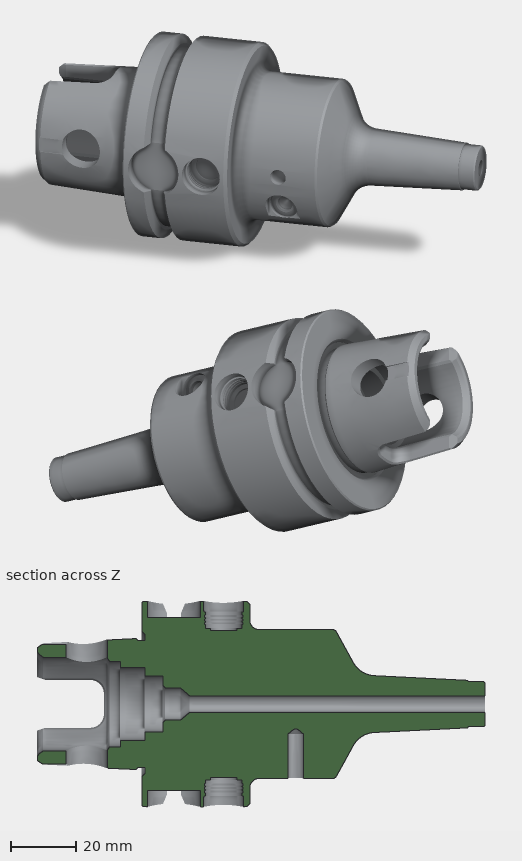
import cadquery as cq
import math

TOTAL_LENGTH = 137.0

SHANK_BIG_RADIUS = 20.1
SHANK_END = 30.1
TAPER_SLOPE = 0.05
NOSE_CHAMFER_LENGTH = 1.9
NOSE_CHAMFER_HEIGHT = 1.4
RELIEF_RADIUS = 19.6
RELIEF_FACE_RADIUS = 21.4
RELIEF_DEPTH = 1.0
RELIEF_CHAMFER = 0.8

FLANGE_RADIUS = 31.5
FLANGE_START = 31.9
FLANGE_END = 65.1
FLANGE_CHAMFER = 1.0
FLANGE_FRONT_CHAMFER = 0.4
GROOVE_START = 38.5
GROOVE_END = 45.2
GROOVE_RADIUS = 27.7
GROOVE_WALL_RUN = 1.2
GROOVE_WALL_DROP = 2.7

BODY_RADIUS = 22.9
BODY_END = 91.4
BODY_FILLET = 2.7
BODY_CHAMFER = 0.7
BODY_CHAMFER_DROP = 0.4
CONE_END = 96.7
CONE_END_RADIUS = 12.7
SPIGOT_START = 103.3
SPIGOT_START_RADIUS = 8.8
TIP_START = 131.9
TIP_RADIUS = 7.0
TIP_CHAMFER = 0.4

MOUTH_RADIUS = 15.9
MOUTH_CHAMFER_LENGTH = 0.4
MOUTH_THROAT_RADIUS = 15.2
SOCKET_START = 1.8
SOCKET_RADIUS = 14.2
SOCKET_END = 21.2
SEAT_START = 22.0
SEAT_RADIUS = 13.0
COUNTERSINK_START = 38.4
BORE_STEPS = [(25.3, 11.1), (32.9, 8.5), (COUNTERSINK_START, 5.6)]
PASSAGE_INLET_RADIUS = 4.8
PASSAGE_CONE_START = 43.8
PASSAGE_START = 46.6
PASSAGE_RADIUS = 2.5

SLOT_WIDTH = 14.7
SLOT_DEPTH = 20.4
SLOT_CORNER_RADIUS = 4.2
SLOT_EDGE_CHAMFER = 0.5
SLOT_MOUTH_LENGTH = 2.5
SLOT_MOUTH_WIDENING = 0.8

CROSS_HOLE_X = 15.1
CROSS_HOLE_DIAMETER = 12.5
FLAT_WIDTH = 4.7
FLAT_HEIGHT = 18.4

DISC_X = 41.8
DISC_DIAMETER = 16.0
DISC_FLOOR = 26.6
PORT_X = 57.0
PORT_DIAMETER = 12.0
PORT_INNER_DIAMETER = 11.0
PORT_SEAT_DIAMETER = 8.0
PORT_SHOULDER = 28.2
PORT_GROOVE_DIAMETER = 11.6
PORT_GROOVE_WIDTH = 0.5
PORT_GROOVE_PITCH = 1.1
PORT_GROOVE_COUNT = 3
PORT_FLOOR = 23.3
PORT_SEAT_DEPTH = 0.7

SCREW_X = 79.0
SCREW_OFFSET = 12.2
SCREW_POCKET_WIDTH = 10.0
SCREW_POCKET_FLOOR = 15.9
SCREW_HOLE_DIAMETER = 9.0
SCREW_HEAD_DEPTH = 1.6
SCREW_CONE_DEPTH = 0.7
SCREW_RIM_DIAMETER = 6.0
SCREW_SOCKET_DIAMETER = 4.7
SCREW_SOCKET_DEPTH = 1.4
PIN_OFFSET = 1.0
PIN_DIAMETER = 5.0
PIN_DEPTH = 13.7

CLEARANCE = 6.8


def radial_tool(x, z, profile):
    """Revolve (radius, Y) points about an axis parallel to Y through (x, z)."""
    return (
        cq.Workplane("XY")
        .polyline(profile)
        .close()
        .revolve(360, (0, 0, 0), (0, 1, 0))
        .translate((x, 0, z))
    )


def half_turn(tool):
    """Join a tool with its copy turned half way around the X axis."""
    return tool.union(tool.rotate((0, 0, 0), (1, 0, 0), 180))


def cut_driver_slots(shank):
    slot = (
        cq.Workplane("XY")
        .box(2 * SLOT_DEPTH, SLOT_WIDTH, 3 * SHANK_BIG_RADIUS)
        .edges("|Z and >X")
        .fillet(SLOT_CORNER_RADIUS)
    )
    shank = shank.cut(slot)
    for side in (1, -1):
        rim_box = cq.selectors.BoxSelector(
            (0, -SLOT_WIDTH, side * MOUTH_RADIUS / 2),
            (SLOT_DEPTH + SLOT_EDGE_CHAMFER, SLOT_WIDTH, side * 2 * SHANK_BIG_RADIUS),
        )
        rims = shank.edges("not(|Y or |Z)").edges(rim_box)
        shank = rims.chamfer(SLOT_EDGE_CHAMFER)
    mouth = (
        cq.Workplane("XY", origin=(0, 0, -2 * SHANK_BIG_RADIUS))
        .moveTo(0, -SLOT_WIDTH / 2 - SLOT_MOUTH_WIDENING)
        .lineTo(SLOT_MOUTH_LENGTH, -SLOT_WIDTH / 2)
        .lineTo(SLOT_MOUTH_LENGTH, SLOT_WIDTH / 2)
        .lineTo(0, SLOT_WIDTH / 2 + SLOT_MOUTH_WIDENING)
        .close()
        .extrude(4 * SHANK_BIG_RADIUS)
    )
    return shank.cut(mouth)


def make_shank():
    nose_radius = SHANK_BIG_RADIUS - TAPER_SLOPE * (SHANK_END - NOSE_CHAMFER_LENGTH)
    shank = (
        cq.Workplane("XY")
        .moveTo(0, 0)
        .lineTo(0, nose_radius - NOSE_CHAMFER_HEIGHT)
        .lineTo(NOSE_CHAMFER_LENGTH, nose_radius)
        .lineTo(SHANK_END, SHANK_BIG_RADIUS)
        .lineTo(SHANK_END + SHANK_BIG_RADIUS - RELIEF_RADIUS, RELIEF_RADIUS)
        .lineTo(FLANGE_START + RELIEF_DEPTH, RELIEF_RADIUS)
        .lineTo(FLANGE_START + RELIEF_DEPTH, 0)
        .close()
        .revolve(360, (0, 0, 0), (1, 0, 0))
    )
    shank = shank.cut(make_bore())
    shank = cut_driver_slots(shank)
    for side in (1, -1):
        flat_center = side * (FLAT_HEIGHT + CLEARANCE / 2)
        flat = cq.Workplane("XY").box(CROSS_HOLE_X, CLEARANCE, FLAT_WIDTH)
        shank = shank.cut(flat.translate((CROSS_HOLE_X / 2, flat_center, 0)))
    hole = (
        cq.Workplane("XZ")
        .center(CROSS_HOLE_X, 0)
        .circle(CROSS_HOLE_DIAMETER / 2)
        .extrude(2 * SHANK_BIG_RADIUS, both=True)
    )
    return shank.cut(hole)


def make_holder():
    wall_radius = FLANGE_RADIUS - GROOVE_WALL_DROP
    spigot_end_radius = SPIGOT_START_RADIUS - TAPER_SLOPE * (TIP_START - SPIGOT_START)
    fillet_middle = BODY_FILLET * (1 - math.sqrt(0.5))
    return (
        cq.Workplane("XY")
        .moveTo(FLANGE_START + RELIEF_DEPTH, 0)
        .lineTo(FLANGE_START + RELIEF_DEPTH, RELIEF_FACE_RADIUS)
        .lineTo(FLANGE_START + RELIEF_CHAMFER, RELIEF_FACE_RADIUS)
        .lineTo(FLANGE_START, RELIEF_FACE_RADIUS + RELIEF_CHAMFER)
        .lineTo(FLANGE_START, FLANGE_RADIUS - FLANGE_FRONT_CHAMFER)
        .lineTo(FLANGE_START + FLANGE_FRONT_CHAMFER, FLANGE_RADIUS)
        .lineTo(GROOVE_START, FLANGE_RADIUS)
        .lineTo(GROOVE_START + GROOVE_WALL_RUN, wall_radius)
        .lineTo(GROOVE_START + GROOVE_WALL_RUN, GROOVE_RADIUS)
        .lineTo(GROOVE_END - GROOVE_WALL_RUN, GROOVE_RADIUS)
        .lineTo(GROOVE_END - GROOVE_WALL_RUN, wall_radius)
        .lineTo(GROOVE_END, FLANGE_RADIUS)
        .lineTo(FLANGE_END - FLANGE_CHAMFER, FLANGE_RADIUS)
        .lineTo(FLANGE_END, FLANGE_RADIUS - FLANGE_CHAMFER)
        .lineTo(FLANGE_END, BODY_RADIUS + BODY_FILLET)
        .threePointArc(
            (FLANGE_END + fillet_middle, BODY_RADIUS + fillet_middle),
            (FLANGE_END + BODY_FILLET, BODY_RADIUS),
        )
        .lineTo(BODY_END - BODY_CHAMFER, BODY_RADIUS)
        .lineTo(BODY_END, BODY_RADIUS - BODY_CHAMFER_DROP)
        .lineTo(CONE_END, CONE_END_RADIUS)
        .tangentArcPoint((SPIGOT_START, SPIGOT_START_RADIUS), relative=False)
        .lineTo(TIP_START, spigot_end_radius)
        .lineTo(TIP_START, TIP_RADIUS)
        .lineTo(TOTAL_LENGTH - TIP_CHAMFER, TIP_RADIUS)
        .lineTo(TOTAL_LENGTH, TIP_RADIUS - TIP_CHAMFER)
        .lineTo(TOTAL_LENGTH, 0)
        .close()
        .revolve(360, (0, 0, 0), (1, 0, 0))
    )


def make_bore():
    bore = (
        cq.Workplane("XY")
        .moveTo(0, 0)
        .lineTo(0, MOUTH_RADIUS)
        .lineTo(MOUTH_CHAMFER_LENGTH, MOUTH_THROAT_RADIUS)
        .lineTo(SOCKET_START, SOCKET_RADIUS)
        .lineTo(SOCKET_END, SOCKET_RADIUS)
        .lineTo(SEAT_START, SEAT_RADIUS)
    )
    radius = SEAT_RADIUS
    for step_x, step_radius in BORE_STEPS:
        bore = bore.lineTo(step_x, radius).lineTo(step_x, step_radius)
        radius = step_radius
    return (
        bore.lineTo(COUNTERSINK_START + radius - PASSAGE_INLET_RADIUS, PASSAGE_INLET_RADIUS)
        .lineTo(PASSAGE_CONE_START, PASSAGE_INLET_RADIUS)
        .lineTo(PASSAGE_START, PASSAGE_RADIUS)
        .lineTo(TOTAL_LENGTH, PASSAGE_RADIUS)
        .lineTo(TOTAL_LENGTH, 0)
        .close()
        .revolve(360, (0, 0, 0), (1, 0, 0))
    )


def make_flange_pockets():
    outside = -FLANGE_RADIUS - CLEARANCE
    disc = radial_tool(
        DISC_X,
        0,
        [
            (0, outside),
            (DISC_DIAMETER / 2, outside),
            (DISC_DIAMETER / 2, -DISC_FLOOR),
            (0, -DISC_FLOOR),
        ],
    )
    port = radial_tool(
        PORT_X,
        0,
        [
            (0, outside),
            (PORT_DIAMETER / 2, outside),
            (PORT_DIAMETER / 2, -PORT_SHOULDER),
            (PORT_INNER_DIAMETER / 2, -PORT_SHOULDER),
            (PORT_INNER_DIAMETER / 2, -PORT_FLOOR),
            (PORT_SEAT_DIAMETER / 2, -PORT_FLOOR),
            (PORT_SEAT_DIAMETER / 2, -PORT_FLOOR + PORT_SEAT_DEPTH),
            (0, -PORT_FLOOR + PORT_SEAT_DEPTH),
        ],
    )
    for index in range(1, PORT_GROOVE_COUNT + 1):
        groove_start = -PORT_SHOULDER + index * PORT_GROOVE_PITCH
        groove = radial_tool(
            PORT_X,
            0,
            [
                (0, groove_start),
                (PORT_GROOVE_DIAMETER / 2, groove_start),
                (PORT_GROOVE_DIAMETER / 2, groove_start + PORT_GROOVE_WIDTH),
                (0, groove_start + PORT_GROOVE_WIDTH),
            ],
        )
        port = port.union(groove)
    return half_turn(disc.union(port))


def make_body_pockets():
    outside = -BODY_RADIUS - CLEARANCE
    arch_radius = SCREW_POCKET_WIDTH / 2
    arch = (
        cq.Workplane("XZ", origin=(SCREW_X, -SCREW_POCKET_FLOOR, -SCREW_OFFSET))
        .moveTo(-arch_radius, 0)
        .threePointArc((0, arch_radius), (arch_radius, 0))
        .lineTo(arch_radius, -BODY_RADIUS)
        .lineTo(-arch_radius, -BODY_RADIUS)
        .close()
        .extrude(BODY_RADIUS)
    )
    head = -SCREW_POCKET_FLOOR + SCREW_HEAD_DEPTH
    rim = head - SCREW_CONE_DEPTH
    socket = rim + SCREW_SOCKET_DEPTH
    screw = radial_tool(
        SCREW_X,
        -SCREW_OFFSET,
        [
            (0, outside),
            (SCREW_HOLE_DIAMETER / 2, outside),
            (SCREW_HOLE_DIAMETER / 2, head),
            (SCREW_RIM_DIAMETER / 2, rim),
            (SCREW_SOCKET_DIAMETER / 2, rim),
            (SCREW_SOCKET_DIAMETER / 2, socket),
            (0, socket + SCREW_SOCKET_DIAMETER / 2),
        ],
    )
    pin_floor = -BODY_RADIUS + PIN_DEPTH
    pin = radial_tool(
        SCREW_X,
        -PIN_OFFSET,
        [
            (0, outside),
            (PIN_DIAMETER / 2, outside),
            (PIN_DIAMETER / 2, pin_floor),
            (0, pin_floor + PIN_DIAMETER / 2),
        ],
    )
    return half_turn(arch.union(screw)).union(pin)


result = (
    make_shank()
    .union(make_holder())
    .cut(make_bore())
    .cut(make_flange_pockets())
    .cut(make_body_pockets())
)